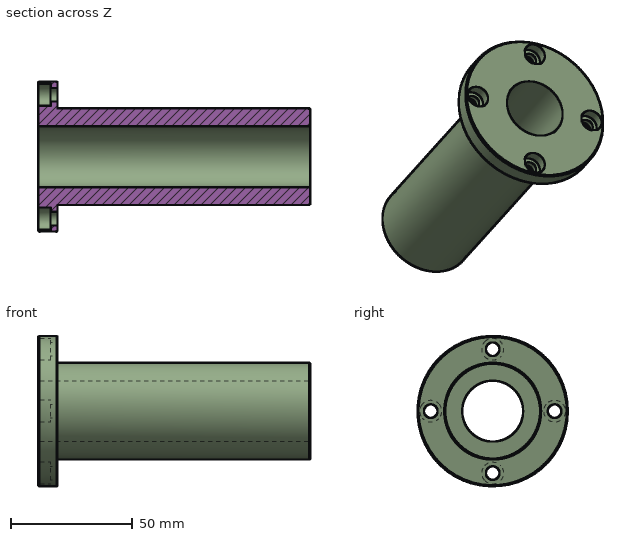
import cadquery as cq

total_length = 112.0
bore_diameter = 25.0

sleeve_diameter = 40.0
sleeve_chamfer = 0.5

flange_diameter = 62.0
flange_thickness = 8.0
flange_chamfer = 0.5

hole_count = 4
hole_diameter = 5.5
counterbore_diameter = 9.0
counterbore_depth = 5.1
bolt_circle_diameter = 51.0


def make_sleeve():
    """Long cylinder with a chamfered free end."""
    sleeve = cq.Workplane("YZ").circle(sleeve_diameter / 2).extrude(total_length)
    return sleeve.faces(">X").chamfer(sleeve_chamfer)


def make_flange():
    """Round flange with both rims chamfered."""
    flange = cq.Workplane("YZ").circle(flange_diameter / 2).extrude(flange_thickness)
    return flange.edges("%CIRCLE").chamfer(flange_chamfer)


def cut_bore(body):
    """Straight bore through the whole length."""
    bore = cq.Workplane("YZ").circle(bore_diameter / 2).extrude(total_length)
    return body.cut(bore)


def make_hole_pattern(diameter, depth):
    """Evenly spaced cylinders on the bolt circle, starting at the flange face."""
    centers = cq.Workplane("YZ").polarArray(bolt_circle_diameter / 2, 0, 360, hole_count)
    return centers.circle(diameter / 2).extrude(depth)


def cut_mounting_holes(body):
    """Through holes, counterbored from the flange face."""
    holes = make_hole_pattern(hole_diameter, flange_thickness)
    counterbores = make_hole_pattern(counterbore_diameter, counterbore_depth)
    return body.cut(holes).cut(counterbores)


body = make_flange().union(make_sleeve())
body = cut_bore(body)
result = cut_mounting_holes(body)